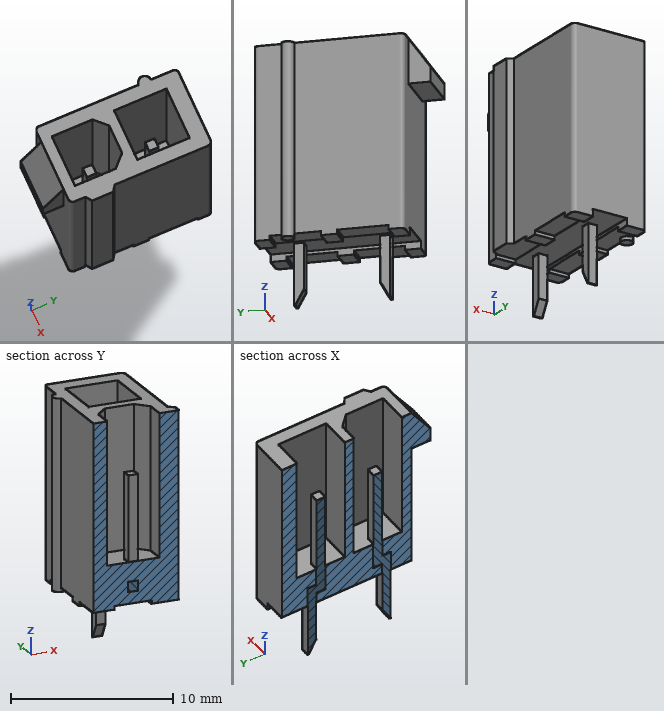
import cadquery as cq


overall_height = 16.3

housing_width = 5.4
housing_depth = 9.6
housing_height = 12.76
corner_radius = 0.3

pin_row_center_y = -0.2
pocket_pitch = 4.2
pocket_size = 3.52
pocket_corner_cut = 0.78
pocket_floor_z = 3.26

side_notch_height = 0.26
end_foot_depth = 1.01
middle_foot_depth = 1.05
channel_width = 2.51
channel_height = 0.49

round_rib_radius = 0.4
round_rib_y = 2.62
key_rib_projection = 0.39
key_rib_base = 1.97
key_rib_tip = 1.42
key_rib_y = -2.79

latch_width = 3.39
latch_projection = 1.4
latch_ramp_height = 1.97
latch_lip_height = 1.01

pin_size = 0.64
pin_top_z = 8.96
tail_pitch = 5.51
tail_length = overall_height - housing_height
tail_point_height = 0.98
tail_point_width = 0.1
bend_bottom_z = 1.3
bend_top_z = bend_bottom_z + pin_size

ROW_SIDES = (-1, 1)


def pin_y(side):
    return pin_row_center_y + side * pocket_pitch / 2


def make_block():
    block = cq.Workplane("XY").box(housing_width, housing_depth, housing_height, centered=(True, True, False))
    return block.edges("|Z").fillet(corner_radius)


def make_round_rib():
    """Full-height round rib; half of it stands out of the -X wall."""
    return (
        cq.Workplane("XY")
        .center(-housing_width / 2, round_rib_y)
        .circle(round_rib_radius)
        .extrude(housing_height)
    )


def make_key_rib():
    """Tapered rib on the +X wall that stops level with the side notches."""
    wall_x = housing_width / 2
    tip_x = wall_x + key_rib_projection
    return (
        cq.Workplane("XY", origin=(0, 0, side_notch_height))
        .polyline([
            (wall_x, key_rib_y - key_rib_base / 2),
            (tip_x, key_rib_y - key_rib_tip / 2),
            (tip_x, key_rib_y + key_rib_tip / 2),
            (wall_x, key_rib_y + key_rib_base / 2),
        ])
        .close()
        .extrude(housing_height - side_notch_height)
    )


def make_latch():
    """Ramp that slopes out from the top edge and ends in an upright lip."""
    wall_y = -housing_depth / 2
    lip_y = wall_y - latch_projection
    lip_top_z = housing_height - latch_ramp_height
    lip_bottom_z = lip_top_z - latch_lip_height
    return (
        cq.Workplane("YZ")
        .polyline([
            (wall_y, housing_height),
            (lip_y, lip_top_z),
            (lip_y, lip_bottom_z),
            (wall_y, lip_bottom_z),
        ])
        .close()
        .extrude(latch_width / 2, both=True)
    )


def make_pocket(side):
    """Square pocket; the front one has its two rear corners cut off."""
    pocket = (
        cq.Workplane("XY", origin=(0, pin_y(side), pocket_floor_z))
        .rect(pocket_size, pocket_size)
        .extrude(housing_height - pocket_floor_z)
    )
    if side < 0:
        pocket = pocket.faces(">Y").edges("|Z").chamfer(pocket_corner_cut)
    return pocket


def make_side_notch(side):
    """Shallow recess right across X, between an end foot and the middle foot."""
    inner_y = middle_foot_depth / 2
    outer_y = housing_depth / 2 - end_foot_depth
    return (
        cq.Workplane("XY", origin=(0, side * (inner_y + outer_y) / 2, 0))
        .rect(housing_width, outer_y - inner_y)
        .extrude(side_notch_height)
    )


def make_channel():
    """Deeper recess that runs the full depth of the underside."""
    return cq.Workplane("XY").rect(channel_width, housing_depth).extrude(channel_height)


def make_pin(side):
    """Pin whose tail is set outward from the contact and cut to a point on its inner side."""
    contact_y = pin_y(side)
    tail_y = pin_row_center_y + side * tail_pitch / 2
    half = side * pin_size / 2
    contact_inner, contact_outer = contact_y - half, contact_y + half
    tail_inner, tail_outer = tail_y - half, tail_y + half
    return (
        cq.Workplane("YZ")
        .polyline([
            (contact_inner, pin_top_z),
            (contact_outer, pin_top_z),
            (contact_outer, bend_top_z),
            (tail_outer, bend_top_z),
            (tail_outer, -tail_length),
            (tail_outer - side * tail_point_width, -tail_length),
            (tail_inner, tail_point_height - tail_length),
            (tail_inner, bend_bottom_z),
            (contact_inner, bend_bottom_z),
        ])
        .close()
        .extrude(pin_size / 2, both=True)
    )


def make_housing(pins):
    """Housing with a matching hole for each pin."""
    housing = make_block().cut(make_channel())
    for side in ROW_SIDES:
        housing = housing.cut(make_side_notch(side))
    housing = housing.union(make_round_rib()).union(make_key_rib()).union(make_latch())
    for side in ROW_SIDES:
        housing = housing.cut(make_pocket(side))
    for pin in pins:
        housing = housing.cut(pin)
    return housing


pins = [make_pin(side) for side in ROW_SIDES]
housing = make_housing(pins)

result = cq.Compound.makeCompound([housing.solids().val(), *[pin.val() for pin in pins]])